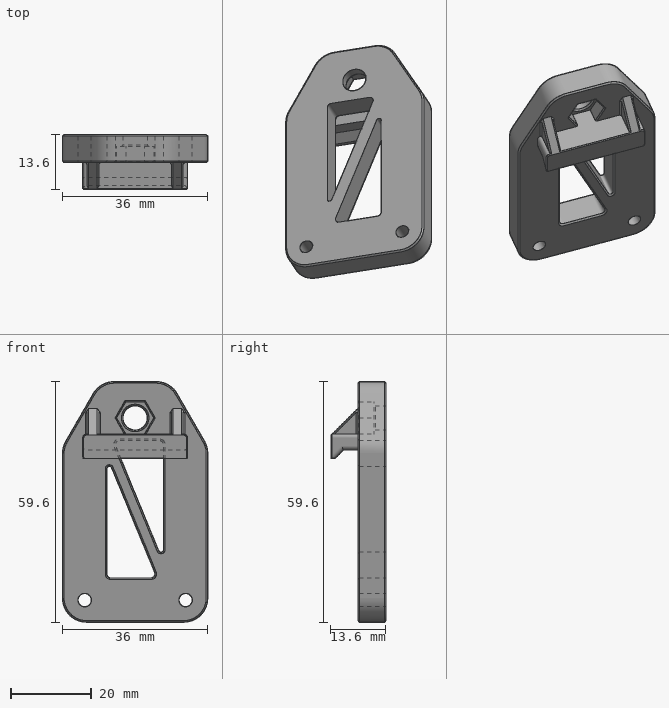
import cadquery as cq
import math

plate_width = 36.0
plate_height = 59.62
plate_thickness = 7.0
shoulder_angle = math.radians(60)
top_half_width = 8.66
outline_radius = 6.0
edge_chamfer = 0.4
chamfer_angle = 45

screw_diameter = 3.25
screw_spacing = 25.0
screw_height = 5.5

nut_below_top = 9.0
nut_height = plate_height - nut_below_top
nut_across_flats = 8.0
nut_pocket_depth = 4.0
nut_chamfer = 0.3
bolt_diameter = 6.0
bolt_chamfer = 0.4

window_width = 14.0
window_bottom = 11.0
window_height = 34.0
bar_width = 3.0
window_apex_radius = 0.6
window_corner_radius = 1.0
window_chamfer = 0.4

ledge_width = 26.0
ledge_reach = 6.6
ledge_top = nut_height - nut_across_flats / 2
ledge_thickness = 4.0
lip_drop = 2.0
lip_thickness = 1.0
ledge_radius = 1.0
ledge_chamfer = 0.25

gusset_width = 2.9
gusset_spacing = 18.0
gusset_offset = (gusset_spacing + gusset_width) / 2
gusset_chamfer = 0.4
gusset_flare = 0.4
gusset_rise = ledge_reach - ledge_chamfer


def front_plane(y=0.0):
    """Sketch plane with X right and Z up; a negative extrusion goes into the plate."""
    return cq.Workplane(cq.Plane(origin=(0, y, 0), xDir=(1, 0, 0), normal=(0, -1, 0)))


def make_plate():
    half_width = plate_width / 2
    shoulder_height = plate_height - (half_width - top_half_width) * math.tan(shoulder_angle)
    outline = [
        (-half_width, 0),
        (half_width, 0),
        (half_width, shoulder_height),
        (top_half_width, plate_height),
        (-top_half_width, plate_height),
        (-half_width, shoulder_height),
    ]
    plate = front_plane().polyline(outline).close().extrude(-plate_thickness)
    return plate.edges("|Y").fillet(outline_radius).faces("<Y or >Y").chamfer(edge_chamfer)


def make_window():
    """Lower-left triangular window, with its front rim chamfered outward."""
    half_width = window_width / 2
    slope = window_height / window_width
    bar_half_span = bar_width / 2 / math.sin(math.atan(slope))
    corner_x = half_width - bar_half_span
    apex_z = window_bottom + (corner_x + half_width) * slope
    triangle = [(-half_width, window_bottom), (corner_x, window_bottom), (-half_width, apex_z)]

    def prism():
        body = front_plane().polyline(triangle).close().extrude(-plate_thickness)
        body = body.edges("|Y and >Z").fillet(window_apex_radius)
        return body.edges("|Y and <Z").fillet(window_corner_radius)

    through = prism()
    rim = through.faces("<Y").wires().toPending()
    rim = rim.offset2D(window_chamfer).extrude(-window_chamfer, taper=chamfer_angle)
    return through.union(rim)


def make_nut_pocket():
    def hexagon(across_flats):
        across_corners = across_flats / math.cos(math.pi / 6)
        return front_plane().center(0, nut_height).polygon(6, across_corners)

    pocket = hexagon(nut_across_flats).extrude(-nut_pocket_depth)
    rim = hexagon(nut_across_flats + 2 * nut_chamfer).extrude(-nut_chamfer, taper=chamfer_angle)
    space_above = front_plane().center(0, ledge_top + nut_across_flats)
    space_above = space_above.rect(2 * nut_across_flats, 2 * nut_across_flats).extrude(-nut_chamfer)
    rim = rim.intersect(space_above)
    bolt = front_plane().center(0, nut_height).circle(bolt_diameter / 2).extrude(-plate_thickness)
    seat = front_plane(nut_pocket_depth).center(0, nut_height)
    seat = seat.circle(bolt_diameter / 2 + bolt_chamfer).extrude(-bolt_chamfer, taper=chamfer_angle)
    return pocket.union(rim).union(bolt).union(seat)


def make_ledge():
    underside = ledge_top - ledge_thickness
    lip_bottom = underside - lip_drop
    profile = [
        (0, ledge_top),
        (-ledge_reach, ledge_top),
        (-ledge_reach, lip_bottom),
        (-ledge_reach + lip_thickness, lip_bottom),
        (-ledge_reach + lip_thickness + lip_drop, underside),
        (0, underside),
    ]
    ledge = cq.Workplane("YZ").polyline(profile).close().extrude(ledge_width / 2, both=True)
    ends = "<X or >X"
    ledge = ledge.faces(ends).edges(">Z").fillet(ledge_radius)
    lower_edges = cq.selectors.BoxSelector(
        (-ledge_width, -ledge_reach + lip_thickness, lip_bottom),
        (ledge_width, 0, underside + ledge_radius / 2),
    )
    ledge = ledge.faces(ends).edges(lower_edges).fillet(ledge_radius)
    front_rim = ledge.faces("<Y").edges("not <Z")
    return front_rim.chamfer(ledge_chamfer)


def make_gusset():
    """Gusset centred on X = 0: a flared plan shape under a chamfered 45 degree ridge."""
    half_width = gusset_width / 2
    base_half = half_width + gusset_flare
    plan = [
        (-base_half, 0),
        (-half_width, -gusset_flare),
        (-half_width, -ledge_reach),
        (half_width, -ledge_reach),
        (half_width, -gusset_flare),
        (base_half, 0),
    ]
    column = cq.Workplane("XY", origin=(0, 0, ledge_top)).polyline(plan).close().extrude(gusset_rise)

    ridge_half = half_width - gusset_chamfer
    depth = gusset_rise
    ridge = [
        (-ridge_half, 0),
        (ridge_half, 0),
        (ridge_half + depth, -depth),
        (-ridge_half - depth, -depth),
    ]
    slope_plane = cq.Plane(origin=(0, 0, ledge_top + gusset_rise), xDir=(1, 0, 0), normal=(0, -1, -1))
    roof = cq.Workplane(slope_plane).polyline(ridge).close().extrude(2 * gusset_rise, both=True)
    return column.intersect(roof)


def make_screw_holes():
    half_spacing = screw_spacing / 2
    centres = [(-half_spacing, screw_height), (half_spacing, screw_height)]
    return front_plane().pushPoints(centres).circle(screw_diameter / 2).extrude(-plate_thickness)


lower_window = make_window()
window_middle = window_bottom + window_height / 2
upper_window = lower_window.rotate((0, 0, window_middle), (0, 1, window_middle), 180)

result = make_plate().cut(lower_window).cut(upper_window)
result = result.cut(make_screw_holes()).cut(make_nut_pocket())
result = result.union(make_ledge())
for side in (-1, 1):
    result = result.union(make_gusset().translate((side * gusset_offset, 0, 0)))